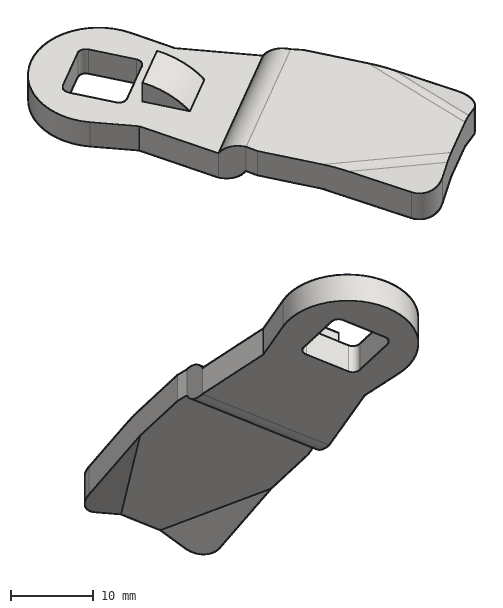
import cadquery as cq
import math

thickness = 4.0
step = thickness / 2
length = 54.0
head_radius = 8.55
waist_x = 15.95
waist_half_width = 7.35

bend_start_x = 26.5
bend_half_width = 9.2
shoulder_x = 31.55
blade_half_width = 9.5
corner_radius = 3.0
bend_run = math.sqrt(thickness**2 - step**2)
bend_end_x = bend_start_x + bend_run
blade_top = step + thickness

hole_size = 8.1
hole_x = 9.0
hole_corner_radius = 1.0

catch_x = 15.0
catch_length = 6.0
catch_width = 6.0
catch_top = 7.1
catch_arc_bulge = 0.6

fold_start_x = 39.7
fold_line_angle = math.radians(25)
fold_angle = math.radians(20.5)
reach = 2 * length


def outline_prism():
    """Plan outline of the whole part, raised to the blade top."""
    waist_distance = math.hypot(waist_x - head_radius, waist_half_width)
    tangent_angle = math.atan2(waist_half_width, waist_x - head_radius) + math.acos(
        head_radius / waist_distance
    )
    tangent_x = head_radius + head_radius * math.cos(tangent_angle)
    tangent_y = head_radius * math.sin(tangent_angle)
    return (
        cq.Workplane("XY")
        .moveTo(tangent_x, -tangent_y)
        .threePointArc((0, 0), (tangent_x, tangent_y))
        .lineTo(waist_x, waist_half_width)
        .lineTo(bend_start_x, bend_half_width)
        .lineTo(bend_end_x, bend_half_width)
        .lineTo(shoulder_x, blade_half_width)
        .lineTo(length, blade_half_width)
        .lineTo(length, -blade_half_width)
        .lineTo(shoulder_x, -blade_half_width)
        .lineTo(bend_end_x, -bend_half_width)
        .lineTo(bend_start_x, -bend_half_width)
        .lineTo(waist_x, -waist_half_width)
        .close()
        .extrude(blade_top)
        .edges("|Z and >X")
        .fillet(corner_radius)
    )


def stepped_plate():
    """Side profile; each bend arc is centred on the opposite inner corner."""
    mid_angle = math.radians(30)
    mid_run = thickness * math.sin(mid_angle)
    mid_rise = thickness * math.cos(mid_angle)
    return (
        cq.Workplane("XZ")
        .moveTo(0, 0)
        .lineTo(bend_start_x, 0)
        .threePointArc((bend_start_x + mid_run, thickness - mid_rise), (bend_end_x, step))
        .lineTo(length, step)
        .lineTo(length, blade_top)
        .lineTo(bend_end_x, blade_top)
        .threePointArc((bend_end_x - mid_run, step + mid_rise), (bend_start_x, thickness))
        .lineTo(0, thickness)
        .close()
        .extrude(blade_half_width, both=True)
    )


def fold_plane(side):
    """Section across a fold line: local x points outward, local y points up."""
    outward = (math.sin(fold_line_angle), side * math.cos(fold_line_angle), 0)
    along = (outward[1], -outward[0], 0)
    origin = (fold_start_x, side * blade_half_width, step)
    return cq.Plane(origin=origin, xDir=outward, normal=along)


def fold_clearance(side):
    """Everything outward of a fold line."""
    return (
        cq.Workplane(fold_plane(side))
        .rect(reach, 2 * reach)
        .extrude(reach, both=True)
        .translate(fold_plane(side).xDir * (reach / 2))
    )


def folded_corner(side):
    """Corner bent down about the fold line on the blade underside."""
    cos_fold = math.cos(fold_angle)
    sin_fold = math.sin(fold_angle)
    flap = corner_radius + blade_half_width
    return (
        cq.Workplane(fold_plane(side))
        .moveTo(0, 0)
        .lineTo(0, thickness)
        .threePointArc(
            (thickness * math.sin(fold_angle / 2), thickness * math.cos(fold_angle / 2)),
            (thickness * sin_fold, thickness * cos_fold),
        )
        .lineTo(thickness * sin_fold + flap * cos_fold, thickness * cos_fold - flap * sin_fold)
        .lineTo(flap * cos_fold, -flap * sin_fold)
        .close()
        .extrude(reach, both=True)
    )


def square_hole():
    return (
        cq.Workplane("XY")
        .center(hole_x, 0)
        .rect(hole_size, hole_size)
        .extrude(thickness)
        .edges("|Z")
        .fillet(hole_corner_radius)
    )


def catch():
    """Block with an upright front face and a convex back sloping to the plate."""
    return (
        cq.Workplane("XZ")
        .moveTo(catch_x, thickness)
        .lineTo(catch_x, catch_top)
        .sagittaArc((catch_x + catch_length, thickness), catch_arc_bulge)
        .close()
        .extrude(catch_width / 2, both=True)
    )


outline = outline_prism()
result = outline.intersect(stepped_plate())
for side in (1, -1):
    result = result.cut(fold_clearance(side))
    result = result.union(folded_corner(side).intersect(outline))
result = result.cut(square_hole()).union(catch())